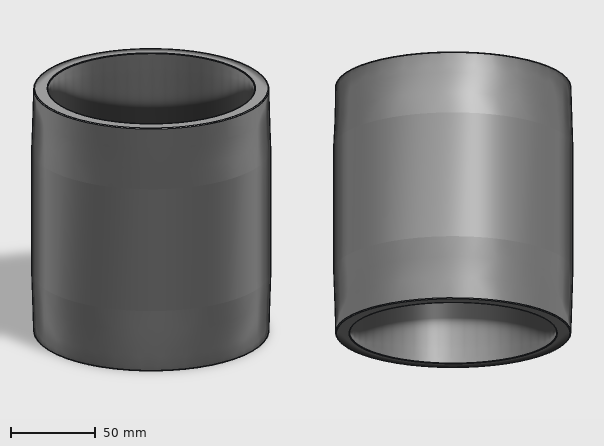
import cadquery as cq

length = 152.4
outer_diameter = 141.224
wall = 9.525
taper_length = 38.0
taper_on_diameter = 1 / 16
outer_rim_chamfer = 0.55
bore_rim_chamfer = 0.4

outer_radius = outer_diameter / 2
bore_radius = outer_radius - wall
half_length = length / 2
taper_start = half_length - taper_length
end_radius = outer_radius - taper_length * taper_on_diameter / 2


def make_nipple():
    """Revolve the wall section about the Z axis, starting from the -X side."""
    section = (
        cq.Workplane("XZ")
        .moveTo(-bore_radius, -half_length)
        .lineTo(-end_radius, -half_length)
        .lineTo(-outer_radius, -taper_start)
        .lineTo(-outer_radius, taper_start)
        .lineTo(-end_radius, half_length)
        .lineTo(-bore_radius, half_length)
        .close()
    )
    return section.revolve(360, (0, 0, 0), (0, 1, 0))


def chamfer_rims(nipple, size_order, chamfer):
    """Break one edge of both end faces: size_order 0 is the bore edge, -1 the outer edge."""
    rims = nipple.faces("<Z or >Z").edges(cq.selectors.RadiusNthSelector(size_order))
    return rims.chamfer(chamfer)


nipple = make_nipple()
nipple = chamfer_rims(nipple, -1, outer_rim_chamfer)
result = chamfer_rims(nipple, 0, bore_rim_chamfer)